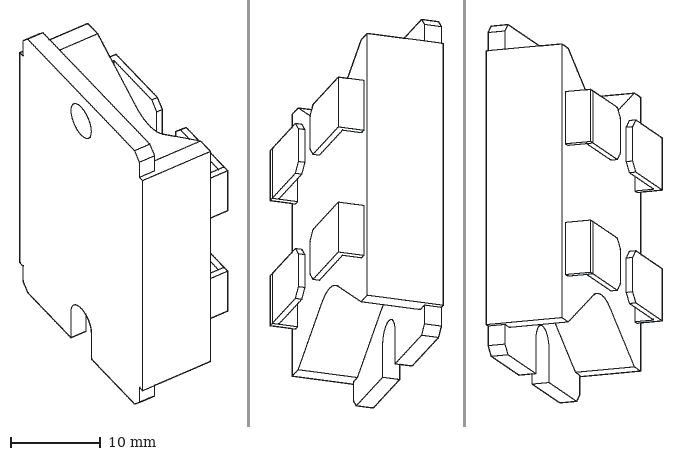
import cadquery as cq
import math

LENGTH = 38.0
PLATE_WIDTH = 24.0
PLATE_THICKNESS = 2.0
PLATE_CHAMFER = 1.0
BLOCK_WIDTH = 25.3
BLOCK_HEIGHT = 31.5
BLOCK_DEPTH = 9.0

HOLE_DIAMETER = 4.18
HOLE_OFFSET = 15.1

NOTCH_HALF_WIDTH = 10.6
NOTCH_SLOPE = 32.0
NOTCH_ARC_HALF_WIDTH = 2.7

TOTAL_DEPTH = 12.0
STRIP_THICKNESS = 0.75
TERMINAL_WIDTH = 6.0
TERMINAL_OFFSET = 7.52
LEG_OUTER_X = 11.5
TAB_TIP_X = 1.95
TAB_CHAMFER = 1.03

LEG_INNER_X = LEG_OUTER_X - STRIP_THICKNESS
TAB_FRONT_Y = TOTAL_DEPTH - STRIP_THICKNESS
ROW_HEIGHTS = (-TERMINAL_OFFSET, TERMINAL_OFFSET)


def box_between(x_range, y_range, z_range):
    """Box spanning the given X, Y and Z ranges."""
    (x0, x1), (y0, y1), (z0, z1) = x_range, y_range, z_range
    return cq.Workplane("XY").box(x1 - x0, y1 - y0, z1 - z0, centered=False).translate((x0, y0, z0))


def upright_slab(width, height, depth):
    """Slab centred on X and Z, with its front face at y = 0."""
    return cq.Workplane("XZ").rect(width, height).extrude(-depth)


def end_notch():
    """Cutter for the notch in the top end of the block, behind the mounting plate."""
    block_top = BLOCK_HEIGHT / 2
    slope = math.radians(NOTCH_SLOPE)
    arc_end_z = block_top - (NOTCH_HALF_WIDTH - NOTCH_ARC_HALF_WIDTH) * math.tan(slope)
    arc_radius = NOTCH_ARC_HALF_WIDTH / math.sin(slope)
    arc_bottom_z = arc_end_z - arc_radius * (1 - math.cos(slope))
    return (
        cq.Workplane("XZ", origin=(0, PLATE_THICKNESS, 0))
        .moveTo(-NOTCH_HALF_WIDTH, block_top)
        .lineTo(-NOTCH_ARC_HALF_WIDTH, arc_end_z)
        .threePointArc((0, arc_bottom_z), (NOTCH_ARC_HALF_WIDTH, arc_end_z))
        .lineTo(NOTCH_HALF_WIDTH, block_top)
        .close()
        .extrude(PLATE_THICKNESS - BLOCK_DEPTH)
    )


def mounting_hole():
    """Cutter for the round hole near the top of the plate."""
    return cq.Workplane("XZ").center(0, HOLE_OFFSET).circle(HOLE_DIAMETER / 2).extrude(-BLOCK_DEPTH)


def mounting_slot():
    """Cutter for the slot with a round end that opens at the bottom of the plate."""
    radius = HOLE_DIAMETER / 2
    straight_part = box_between((-radius, radius), (0, BLOCK_DEPTH), (-LENGTH / 2, -HOLE_OFFSET))
    round_end = mounting_hole().mirror("XY")
    return straight_part.union(round_end)


def terminal_leg(height):
    """Left-hand strip that stands on the back of the block and reaches the back of the tab."""
    z_range = (height - TERMINAL_WIDTH / 2, height + TERMINAL_WIDTH / 2)
    return box_between((-LEG_OUTER_X, -LEG_INNER_X), (BLOCK_DEPTH, TOTAL_DEPTH), z_range)


def terminal_tab(height):
    """Left-hand strip parallel to the block, with two chamfered corners at its tip."""
    z_range = (height - TERMINAL_WIDTH / 2, height + TERMINAL_WIDTH / 2)
    tab = box_between((-LEG_INNER_X, -TAB_TIP_X), (TAB_FRONT_Y, TOTAL_DEPTH), z_range)
    return tab.faces(">X").edges("|Y").chamfer(TAB_CHAMFER)


def make_housing():
    """Block and plate, with both left-hand terminals and both right-hand legs."""
    plate = upright_slab(PLATE_WIDTH, LENGTH, PLATE_THICKNESS).edges("|Y").chamfer(PLATE_CHAMFER)
    block = upright_slab(BLOCK_WIDTH, BLOCK_HEIGHT, BLOCK_DEPTH)
    body = block.union(plate)
    body = body.cut(end_notch()).cut(end_notch().mirror("XY"))
    body = body.cut(mounting_hole()).cut(mounting_slot())
    for height in ROW_HEIGHTS:
        leg = terminal_leg(height)
        body = body.union(leg.union(terminal_tab(height)).clean())
        body = body.union(leg.mirror("YZ"))
    return body


def make_contact_tab(height):
    """Separate right-hand tab, butted against the inner side of its leg."""
    return terminal_tab(height).mirror("YZ")


housing = make_housing()
contact_tabs = [make_contact_tab(height) for height in ROW_HEIGHTS]

result = cq.Compound.makeCompound([housing.val(), *[tab.val() for tab in contact_tabs]])